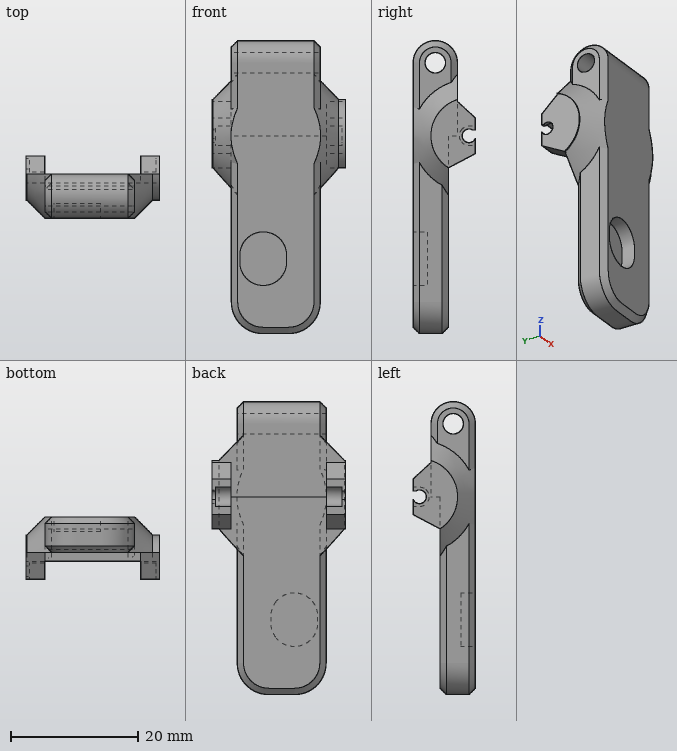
import cadquery as cq
import math

height = 46.1
body_width = 14.0
body_depth = 5.6
head_depth = 7.0
corner_radius = 5.0
edge_chamfer = 1.0
head_radius = head_depth / 2
hinge_z = height - head_radius
hinge_hole_diameter = 3.2

pin_y = 8.8
pin_z = 31.1
pin_diameter = 2.1
boss_radius = 6.0
boss_cone_end = 9.85
boss_cone_start = 5.55
left_end = -10.05
right_end = 10.95

ear_width = 3.0
ear_back = 9.8
ear_root_bottom = pin_z - math.sqrt(boss_radius**2 - (pin_y - body_depth)**2)
ear_root_top = pin_z + 5.4
ear_tip_top = pin_z + 2.8
ear_tip_bottom = pin_z - 2.8
lip_thickness = 0.6
clearance_radius = 1.5
mouth_bottom = pin_z - 0.4
mouth_top = pin_z + 0.88

recess_x = -2.0
recess_z = 11.8
recess_width = 7.38
recess_height = 8.45
recess_depth = 2.3


def box_between(x0, x1, y0, y1, z0, z1):
    """Axis-aligned box given by its limits."""
    return cq.Workplane("XY").box(x1 - x0, y1 - y0, z1 - z0, centered=False).translate((x0, y0, z0))


def x_cylinder(diameter, y, z, x0, x1):
    """Cylinder along X."""
    return cq.Workplane("YZ", origin=(x0, y, z)).circle(diameter / 2).extrude(x1 - x0)


def make_lower_body():
    """Thin handle, rounded at the bottom corners and chamfered all round."""
    half = body_width / 2
    handle = box_between(-half, half, 0, body_depth, 0, pin_z)
    handle = handle.edges("|Y and <Z").fillet(corner_radius)
    return handle.faces("<Y or >Y").edges("not >Z").chamfer(edge_chamfer)


def make_head():
    """Thicker upper body with a fully rounded, chamfered hinge end."""
    profile = (
        cq.Workplane("YZ", origin=(-body_width / 2, 0, 0))
        .moveTo(0, pin_z)
        .lineTo(0, hinge_z)
        .threePointArc((head_radius, height), (head_depth, hinge_z))
        .lineTo(head_depth, pin_z)
        .close()
    )
    head = profile.extrude(body_width)
    return head.faces("<X or >X").edges("not <Z").chamfer(edge_chamfer)


def boss_bounds():
    """Stepped envelope that trims the bosses to the front and back of the body."""
    lower = box_between(left_end, right_end, 0, body_depth, 0, pin_z)
    upper = box_between(left_end, right_end, 0, head_depth, pin_z, height)
    return lower.union(upper)


def make_bosses():
    """Two opposed cones on the pin axis, each ending in a short cylinder."""
    large_radius = boss_radius + boss_cone_end - boss_cone_start
    solid = (
        cq.Workplane("XY")
        .moveTo(left_end, 0)
        .lineTo(left_end, boss_radius)
        .lineTo(-boss_cone_end, boss_radius)
        .lineTo(-boss_cone_start, large_radius)
        .lineTo(boss_cone_start, large_radius)
        .lineTo(boss_cone_end, boss_radius)
        .lineTo(right_end, boss_radius)
        .lineTo(right_end, 0)
        .close()
        .revolve(360, (0, 0, 0), (1, 0, 0))
        .translate((0, pin_y, pin_z))
    )
    return solid.intersect(boss_bounds())


def make_ear(x0):
    """Tapered ear reaching back from the body around the pin axis."""
    return (
        cq.Workplane("YZ", origin=(x0, 0, 0))
        .moveTo(body_depth, ear_root_bottom)
        .lineTo(ear_back, ear_tip_bottom)
        .lineTo(ear_back, ear_tip_top)
        .lineTo(head_depth, ear_root_top)
        .lineTo(body_depth, pin_z)
        .close()
        .extrude(ear_width)
    )


def make_pin_seat():
    """Round pin seat, open to the back through a narrower mouth."""
    seat = x_cylinder(pin_diameter, pin_y, pin_z, left_end, right_end)
    mouth = box_between(left_end, right_end, pin_y, ear_back, mouth_bottom, mouth_top)
    return seat.union(mouth)


def make_clearance():
    """Wider space between the two outer lips, open to the back and to the inside of the ears."""
    x0 = left_end + lip_thickness
    x1 = right_end - lip_thickness
    bore = x_cylinder(2 * clearance_radius, pin_y, pin_z, x0, x1)
    opening = box_between(x0, x1, pin_y, ear_back, pin_z - clearance_radius, pin_z + clearance_radius)
    return bore.union(opening)


def make_recess():
    """Blind obround pocket in the front face."""
    return (
        cq.Workplane("XZ", origin=(recess_x, 0, recess_z))
        .slot2D(recess_height, recess_width, 90)
        .extrude(-recess_depth)
    )


result = make_lower_body().union(make_head()).union(make_bosses())
for ear_start in (left_end, right_end - ear_width):
    result = result.union(make_ear(ear_start))
result = result.cut(make_pin_seat()).cut(make_clearance())
result = result.cut(x_cylinder(hinge_hole_diameter, head_radius, hinge_z, left_end, right_end))
result = result.cut(make_recess())